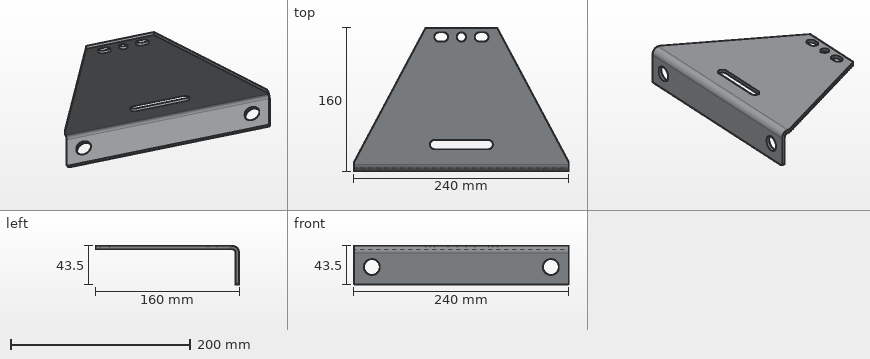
import cadquery as cq

width = 240.0
depth = 160.0
height = 43.5
thickness = 4.0
outer_bend_radius = 8.0
inner_bend_radius = outer_bend_radius - thickness

back_width = 80.2
taper_start = 10.0
flange_corner_radius = 2.0
taper_corner_radius = 2.0

hole_diameter = 10.0
back_row_y = depth - hole_diameter
short_slot_length = 15.0
short_slot_offset = 22.5
long_slot_length = 70.0
long_slot_y = 30.0

mount_diameter = 17.5
mount_offset = 99.8
mount_z = -23.8


def bent_sheet():
    """L-shaped sheet with a rounded bend, extruded over the full width."""
    bend = (
        cq.Workplane("YZ")
        .moveTo(depth, 0)
        .lineTo(outer_bend_radius, 0)
        .radiusArc((0, -outer_bend_radius), -outer_bend_radius)
        .lineTo(0, -height)
        .lineTo(thickness, -height)
        .lineTo(thickness, -outer_bend_radius)
        .radiusArc((outer_bend_radius, -thickness), inner_bend_radius)
        .lineTo(depth, -thickness)
        .close()
    )
    return bend.extrude(width / 2, both=True)


def plan_outline():
    """Block with the tapered plan shape, used to trim the sheet."""
    blank = (
        cq.Workplane("XY")
        .polyline([
            (-width / 2, 0),
            (width / 2, 0),
            (width / 2, taper_start),
            (back_width / 2, depth),
            (-back_width / 2, depth),
            (-width / 2, taper_start),
        ])
        .close()
        .extrude(-height)
    )
    taper_corners = cq.selectors.BoxSelector(
        (-width, taper_start / 2, -height), (width, depth / 2, 0)
    )
    return blank.edges("|Z").edges(taper_corners).fillet(taper_corner_radius)


def round_flange_corners(sheet):
    return sheet.faces("<Z").edges("|Y").fillet(flange_corner_radius)


def plate_openings():
    """Cutters for the back row of holes and the long front slot."""
    plane = cq.Workplane("XY")
    centre_hole = plane.center(0, back_row_y).circle(hole_diameter / 2).extrude(-thickness)
    short_slots = (
        plane.pushPoints([(side * short_slot_offset, back_row_y) for side in (-1, 1)])
        .slot2D(short_slot_length, hole_diameter)
        .extrude(-thickness)
    )
    long_slot = (
        plane.center(0, long_slot_y).slot2D(long_slot_length, hole_diameter).extrude(-thickness)
    )
    return centre_hole.union(short_slots).union(long_slot)


def flange_holes():
    """Cutters for the two mounting holes."""
    return (
        cq.Workplane("XZ")
        .pushPoints([(side * mount_offset, mount_z) for side in (-1, 1)])
        .circle(mount_diameter / 2)
        .extrude(-thickness)
    )


bracket = round_flange_corners(bent_sheet().intersect(plan_outline()))
result = bracket.cut(plate_openings()).cut(flange_holes())